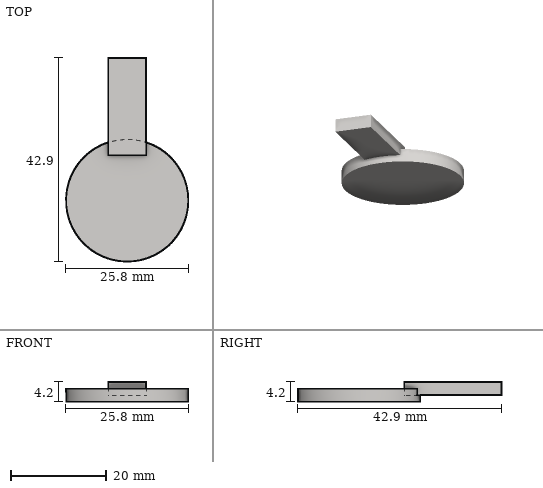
import cadquery as cq

total_length = 42.9
disc_diameter = 25.75
thickness = 2.8
total_height = 4.2
bar_width = 7.98
bar_length = 20.5

disc_radius = disc_diameter / 2
bar_outer_y = total_length - disc_radius
bar_center_y = bar_outer_y - bar_length / 2
bar_bottom_z = total_height - thickness


def make_bar():
    """Flat rectangular bar running out from the disc along +Y."""
    return (
        cq.Workplane("XY", origin=(0, bar_center_y, bar_bottom_z))
        .rect(bar_width, bar_length)
        .extrude(thickness)
    )


def make_disc(seated_bar):
    """Round disc with a recess at its edge that fits the end of the bar."""
    blank = cq.Workplane("XY").circle(disc_radius).extrude(thickness)
    return blank.cut(seated_bar).solids()


bar = make_bar()
disc = make_disc(bar)

result = cq.Compound.makeCompound([disc.val(), bar.val()])